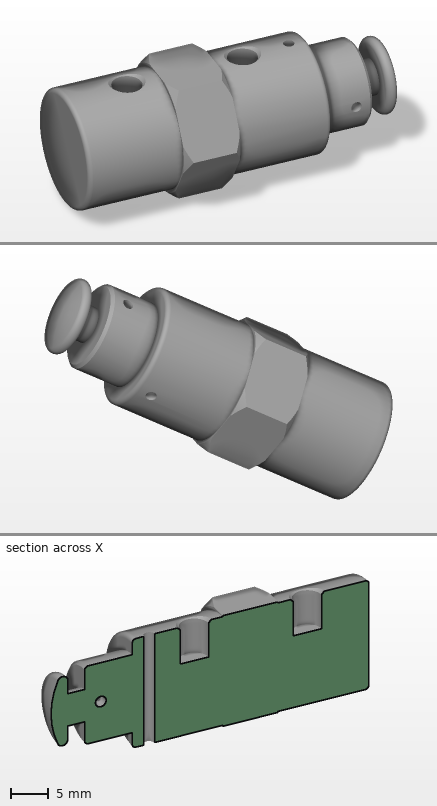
import cadquery as cq
import math

length = 46.9
body_diameter = 16.7
body_length = 34.95
body_fillet = 0.6

neck_diameter = 12.0
neck_end = 41.98
neck_chamfer = 0.4

stem_diameter = 5.0

button_diameter = 10.65
button_base = 44.35
button_rim_radius = 0.8

hex_across_flats = 17.0
hex_start = 13.45
hex_width = 8.15
hex_chamfer = 1.0

port_diameter = 4.15
port_mouth_diameter = 5.0
port_depth = 5.65
port_positions = (9.1, 25.75)

vent_diameter = 1.5
body_vent_position = 32.4
neck_vent_position = 39.55


def cylinder_along_y(diameter, start, end):
    return cq.Workplane("XZ", origin=(0, start, 0)).circle(diameter / 2).extrude(start - end)


def make_hex():
    """Hexagon with flats facing +Z and -Z, its corners turned off conically at both ends."""
    corner_radius = hex_across_flats / math.sqrt(3)
    hex_end = hex_start + hex_width
    prism = (
        cq.Workplane("XZ", origin=(0, hex_start, 0))
        .polygon(6, 2 * corner_radius)
        .extrude(-hex_width)
    )
    envelope = cylinder_along_y(2 * corner_radius, hex_start, hex_end).edges().chamfer(hex_chamfer)
    return prism.intersect(envelope)


def make_button():
    """Button with a round rim that runs tangentially into a spherical dome."""
    rim_x = button_diameter / 2 - button_rim_radius
    rim_y = button_base + button_rim_radius
    rim_drop = length - rim_y
    dome_radius = (rim_x**2 + rim_drop**2 - button_rim_radius**2) / (2 * (rim_drop - button_rim_radius))
    dome_center_y = length - dome_radius
    tangent_angle = math.atan2(rim_y - dome_center_y, rim_x)
    half_dome_angle = (tangent_angle + math.pi / 2) / 2

    def dome_point(angle):
        return (dome_radius * math.cos(angle), dome_center_y + dome_radius * math.sin(angle))

    return (
        cq.Workplane("XY")
        .moveTo(0, button_base)
        .lineTo(rim_x, button_base)
        .threePointArc((button_diameter / 2, rim_y), dome_point(tangent_angle))
        .threePointArc(dome_point(half_dome_angle), (0, length))
        .close()
        .revolve(360, (0, 0, 0), (0, 1, 0))
    )


def make_port(y):
    """Blind port from the +Z side with a 45 degree countersink at its mouth."""
    top = body_diameter / 2
    countersink_depth = (port_mouth_diameter - port_diameter) / 2
    return (
        cq.Workplane("XZ", origin=(0, y, 0))
        .moveTo(0, top - port_depth)
        .lineTo(port_diameter / 2, top - port_depth)
        .lineTo(port_diameter / 2, top - countersink_depth)
        .lineTo(port_mouth_diameter / 2, top)
        .lineTo(0, top)
        .close()
        .revolve(360, (0, 0, 0), (0, 1, 0))
    )


body = cylinder_along_y(body_diameter, 0, body_length).edges().fillet(body_fillet)
neck = cylinder_along_y(neck_diameter, hex_start, neck_end).faces(">Y").edges().chamfer(neck_chamfer)
stem = cylinder_along_y(stem_diameter, body_length, button_base + button_rim_radius)

result = body.union(make_hex()).union(neck).union(stem).union(make_button())

for port_y in port_positions:
    result = result.cut(make_port(port_y))

body_vent = (
    cq.Workplane("XY", origin=(0, body_vent_position, 0))
    .circle(vent_diameter / 2)
    .extrude(body_diameter / 2, both=True)
)
neck_vent = (
    cq.Workplane("YZ", origin=(0, neck_vent_position, 0))
    .circle(vent_diameter / 2)
    .extrude(neck_diameter / 2, both=True)
)
result = result.cut(body_vent).cut(neck_vent)